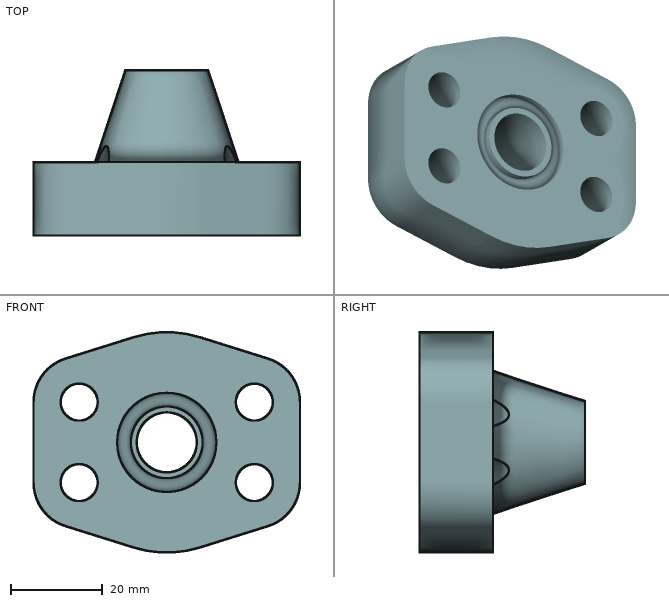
import cadquery as cq
import math

plate_length = 58.0
plate_height = 48.0
plate_thickness = 16.0

bolt_spacing_x = 38.1
bolt_spacing_z = 17.5
bolt_hole_diameter = 8.0
bolt_head_clearance_diameter = 13.0

neck_length = 20.0
neck_base_diameter = 31.2
neck_end_diameter = 18.0
bore_diameter = 13.0

groove_outer_diameter = 21.6
groove_inner_diameter = 15.6
groove_depth = 2.0

overall_depth = plate_thickness + neck_length
crown_radius = plate_height / 2
bolt_x = bolt_spacing_x / 2
bolt_z = bolt_spacing_z / 2
corner_radius = plate_length / 2 - bolt_x
bolt_points = [(sx * bolt_x, sz * bolt_z) for sx in (-1, 1) for sz in (-1, 1)]


def cylinder(diameter, start_y, length, x=0.0, z=0.0):
    """Cylinder along +Y, starting at start_y and centred on (x, z)."""
    return cq.Workplane(
        cq.Solid.makeCylinder(diameter / 2, length, cq.Vector(x, start_y, z), cq.Vector(0, 1, 0))
    )


def flange_plate():
    """Plate with corners concentric with the bolt holes, joined by tangents to a central crown."""
    centre_distance = math.hypot(bolt_x, bolt_z)
    corner_direction = math.atan2(bolt_z, bolt_x)
    normal_angle = corner_direction + math.acos((crown_radius - corner_radius) / centre_distance)
    normal_x = math.cos(normal_angle)
    normal_z = math.sin(normal_angle)
    crown_x = crown_radius * normal_x
    crown_z = crown_radius * normal_z
    corner_x = bolt_x + corner_radius * normal_x
    corner_z = bolt_z + corner_radius * normal_z
    corner_mid_x = bolt_x + corner_radius * math.cos(normal_angle / 2)
    corner_mid_z = bolt_z + corner_radius * math.sin(normal_angle / 2)
    side_x = plate_length / 2

    outline = (
        cq.Workplane("XZ")
        .moveTo(-crown_x, crown_z)
        .threePointArc((0, crown_radius), (crown_x, crown_z))
        .lineTo(corner_x, corner_z)
        .threePointArc((corner_mid_x, corner_mid_z), (side_x, bolt_z))
        .lineTo(side_x, -bolt_z)
        .threePointArc((corner_mid_x, -corner_mid_z), (corner_x, -corner_z))
        .lineTo(crown_x, -crown_z)
        .threePointArc((0, -crown_radius), (-crown_x, -crown_z))
        .lineTo(-corner_x, -corner_z)
        .threePointArc((-corner_mid_x, -corner_mid_z), (-side_x, -bolt_z))
        .lineTo(-side_x, bolt_z)
        .threePointArc((-corner_mid_x, corner_mid_z), (-corner_x, corner_z))
        .close()
    )
    return outline.extrude(-plate_thickness)


def neck():
    """Cone from the back of the plate, cut away where the bolt heads need room."""
    cone = (
        cq.Workplane("XY")
        .moveTo(0, plate_thickness)
        .lineTo(-neck_base_diameter / 2, plate_thickness)
        .lineTo(-neck_end_diameter / 2, overall_depth)
        .lineTo(0, overall_depth)
        .close()
        .revolve(axisStart=(0, 0), axisEnd=(0, 1))
    )
    for x, z in bolt_points:
        cone = cone.cut(cylinder(bolt_head_clearance_diameter, plate_thickness, neck_length, x, z))
    return cone


def seal_groove():
    """Ring removed from the front face."""
    outer = cylinder(groove_outer_diameter, 0, groove_depth)
    return outer.cut(cylinder(groove_inner_diameter, 0, groove_depth))


result = flange_plate().union(neck())
result = result.cut(cylinder(bore_diameter, 0, overall_depth))
result = result.cut(seal_groove())
for x, z in bolt_points:
    result = result.cut(cylinder(bolt_hole_diameter, 0, plate_thickness, x, z))